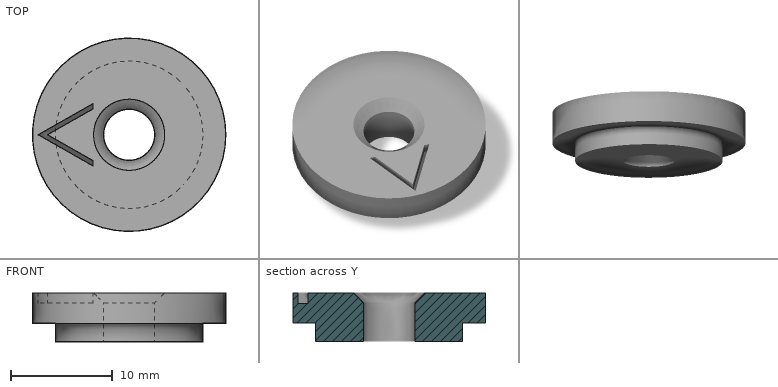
import cadquery as cq

disc_diameter = 19.0
disc_thickness = 3.0
boss_diameter = 14.5
boss_height = 1.8
total_height = boss_height + disc_thickness

hole_diameter = 5.0
countersink_diameter = 7.0
countersink_angle = 90

pointer_tip_x = -8.93
pointer_inner_tip_x = -8.02
pointer_end_x = -3.55
pointer_half_width = 3.05
pointer_depth = 1.0
pointer_slope = pointer_half_width / (pointer_end_x - pointer_tip_x)
pointer_inner_half_width = pointer_slope * (pointer_end_x - pointer_inner_tip_x)


def make_stepped_disc():
    """Boss standing on Z = 0 with the wider disc on top of it."""
    boss = cq.Workplane("XY").circle(boss_diameter / 2).extrude(boss_height)
    return boss.faces(">Z").workplane().circle(disc_diameter / 2).extrude(disc_thickness)


def cut_countersunk_hole(body):
    """Central through hole, countersunk from the top face."""
    return body.faces(">Z").workplane().cskHole(hole_diameter, countersink_diameter, countersink_angle)


def make_pointer():
    """Chevron cutter reaching down from the top face."""
    outline = [
        (pointer_tip_x, 0),
        (pointer_end_x, pointer_half_width),
        (pointer_end_x, pointer_inner_half_width),
        (pointer_inner_tip_x, 0),
        (pointer_end_x, -pointer_inner_half_width),
        (pointer_end_x, -pointer_half_width),
    ]
    top = cq.Workplane("XY").workplane(offset=total_height)
    return top.polyline(outline).close().extrude(-pointer_depth)


result = cut_countersunk_hole(make_stepped_disc()).cut(make_pointer())